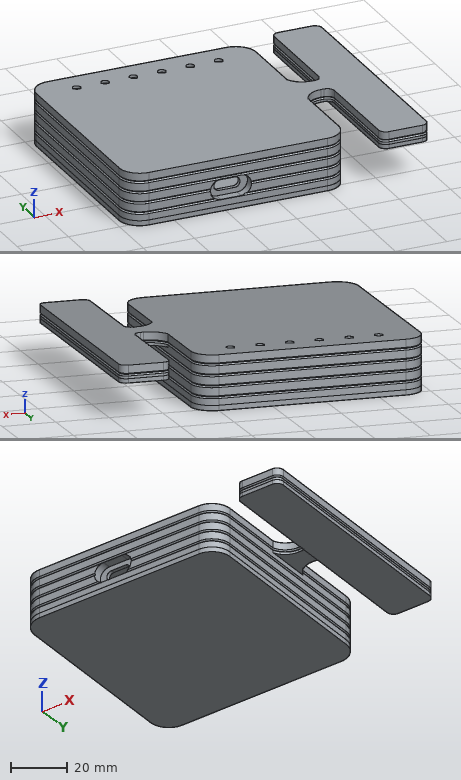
import cadquery as cq
case_side = 85.8
case_corner_radius = 8.0
total_height = 20.5
base_cover_thickness = 2.0

side_wall = 5.0
top_wall = 1.0
cavity_corner_radius = case_corner_radius - side_wall

total_length = 115.7
bar_length = 93.6
bar_width = 18.6
bar_corner_radius = 2.8
handle_thickness = 5.0
bar_cover_thickness = 1.6
neck_width = 8.0
neck_case_radius = 8.0
neck_arc_overlap = 0.6
neck_bar_radius = 2.8

groove_depth = 0.5
groove_pitch = 4.02
groove_count = 4
top_to_first_groove = 3.5

light_diameter = 3.0
light_count = 6
light_end_margin = 15.2
light_back_margin = 9.0

port_center_x = 40.0
port_drop = 11.9
port_recess_length = 16.0
port_recess_height = 8.0
port_recess_depth = 3.5
port_slot_length = 10.2
port_slot_height = 4.0

middle_y = case_side / 2
bar_left_x = total_length - bar_width
bar_center_x = total_length - bar_width / 2
handle_bottom_z = total_height - handle_thickness
first_groove_z = total_height - top_to_first_groove


def rounded_plate(center_x, size_x, size_y, corner_radius, bottom_z, top_z):
    """Plate with rounded vertical edges, centred on the case's mid-depth."""
    return (
        cq.Workplane("XY", origin=(center_x, middle_y, bottom_z))
        .rect(size_x, size_y)
        .extrude(top_z - bottom_z)
        .edges("|Z")
        .fillet(corner_radius)
    )


def case_plate(bottom_z, top_z):
    return rounded_plate(middle_y, case_side, case_side, case_corner_radius, bottom_z, top_z)


def bar_plate(bottom_z, top_z):
    return rounded_plate(bar_center_x, bar_width, bar_length, bar_corner_radius, bottom_z, top_z)


def neck_half(bottom_z, top_z):
    """Half of the neck on the +Y side, reaching into the case and to the middle of the bar."""
    half_width = neck_width / 2
    arc_start_x = case_side - neck_arc_overlap
    arc_end_x = arc_start_x + neck_case_radius
    fillet_start_x = bar_left_x - neck_bar_radius
    return (
        cq.Workplane("XY", origin=(0, middle_y, bottom_z))
        .moveTo(case_side - case_corner_radius, 0)
        .lineTo(case_side - case_corner_radius, half_width + neck_case_radius)
        .lineTo(arc_start_x, half_width + neck_case_radius)
        .radiusArc((arc_end_x, half_width), -neck_case_radius)
        .lineTo(fillet_start_x, half_width)
        .radiusArc((bar_left_x, half_width + neck_bar_radius), -neck_bar_radius)
        .lineTo(bar_center_x, half_width + neck_bar_radius)
        .lineTo(bar_center_x, 0)
        .close()
        .extrude(top_z - bottom_z)
    )


def handle_plate(bottom_z, top_z):
    """Bar and neck as one plate."""
    half = neck_half(bottom_z, top_z)
    return bar_plate(bottom_z, top_z).union(half).union(half.mirror("XZ", (0, middle_y, 0)))


def chamfered(plate, face_selector):
    return plate.faces(face_selector).chamfer(groove_depth)


def case_layers():
    """Case part of the housing: stacked layers whose chamfered edges form a V groove at each joint."""
    joints = [first_groove_z - index * groove_pitch for index in range(groove_count)]
    stack = chamfered(case_plate(joints[0], total_height), "<Z")
    for top_z, bottom_z in zip(joints, joints[1:]):
        stack = stack.union(chamfered(case_plate(bottom_z, top_z), "<Z or >Z"))
    return stack.union(chamfered(case_plate(base_cover_thickness, joints[-1]), ">Z"))


def handle_layers():
    """Handle part of the housing: two layers that continue the first groove."""
    upper = chamfered(handle_plate(first_groove_z, total_height), "<Z")
    lower = chamfered(handle_plate(handle_bottom_z, first_groove_z), ">Z")
    return upper.union(lower)


def cavity():
    side = case_side - 2 * side_wall
    return rounded_plate(
        middle_y, side, side, cavity_corner_radius, base_cover_thickness, total_height - top_wall
    )


def light_holes():
    pitch = (case_side - 2 * light_end_margin) / (light_count - 1)
    row_y = case_side - light_back_margin
    return (
        cq.Workplane("XY", origin=(middle_y, row_y, total_height))
        .rarray(pitch, 1.2, light_count, 1)
        .circle(light_diameter / 2)
        .extrude(-top_wall)
    )


def port():
    front = cq.Workplane("XZ", origin=(port_center_x, 0, total_height - port_drop))
    recess = front.slot2D(port_recess_length, port_recess_height).extrude(-port_recess_depth)
    slot = front.slot2D(port_slot_length, port_slot_height).extrude(-side_wall)
    return recess.union(slot)


def make_housing():
    return case_layers().union(handle_layers()).cut(cavity()).cut(light_holes()).cut(port())


housing = make_housing()
base_cover = case_plate(0, base_cover_thickness)
bar_cover = bar_plate(handle_bottom_z - bar_cover_thickness, handle_bottom_z)

result = cq.Compound.makeCompound([housing.val(), base_cover.val(), bar_cover.val()])